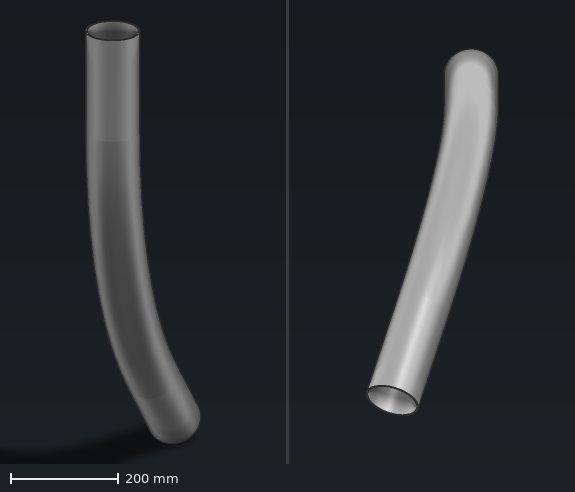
import cadquery as cq
import math

outer_diameter = 101.6
inner_diameter = 95.5
bend_angle = 45.0
bend_radius = 8 * outer_diameter
straight_length = 2 * outer_diameter

angle = math.radians(bend_angle)


def point_on_bend(turned):
    """Centreline (Y, Z) after turning through the given angle in radians."""
    return (bend_radius * (1 - math.cos(turned)), -bend_radius * math.sin(turned))


bend_middle = point_on_bend(angle / 2)
bend_end = point_on_bend(angle)
lower_end = (
    bend_end[0] + straight_length * math.sin(angle),
    bend_end[1] - straight_length * math.cos(angle),
)

centreline = (
    cq.Workplane("YZ")
    .moveTo(0, straight_length)
    .lineTo(0, 0)
    .threePointArc(bend_middle, bend_end)
    .lineTo(*lower_end)
)

result = (
    cq.Workplane("XY", origin=(0, 0, straight_length))
    .circle(outer_diameter / 2)
    .circle(inner_diameter / 2)
    .sweep(centreline)
)